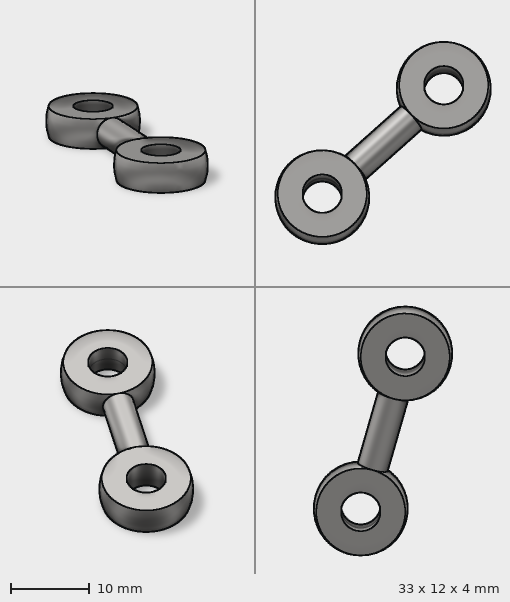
import cadquery as cq

overall_length = 33.0
eye_diameter = 12.0
thickness = 4.0
hole_diameter = 5.0

eye_spacing = overall_length - eye_diameter
rod_diameter = thickness


def eye(center_x):
    """Ball centred on the X axis, cut flat at top and bottom."""
    ball = cq.Workplane("XY").sphere(eye_diameter / 2)
    slab = cq.Workplane("XY").box(eye_diameter * 2, eye_diameter * 2, thickness)
    return ball.intersect(slab).translate((center_x, 0, 0))


def connecting_rod():
    """Round rod along X, running from one eye centre to the other."""
    return (
        cq.Workplane("YZ")
        .circle(rod_diameter / 2)
        .extrude(eye_spacing / 2, both=True)
    )


def eye_hole(center_x):
    """Vertical bore through an eye."""
    return (
        cq.Workplane("XY")
        .center(center_x, 0)
        .circle(hole_diameter / 2)
        .extrude(thickness, both=True)
    )


eye_centers = (-eye_spacing / 2, eye_spacing / 2)

result = connecting_rod()
for center_x in eye_centers:
    result = result.union(eye(center_x))

for center_x in eye_centers:
    result = result.cut(eye_hole(center_x))